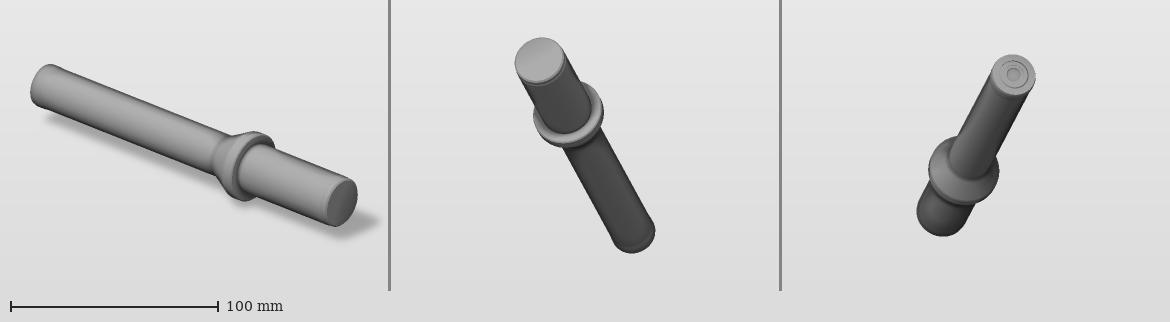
import cadquery as cq

NOSE_CHAMFER_END = 1.3
NOSE_END = 4.7
NOSE_TAPER_END = 7.5
CONE_START = 114.5
FLANGE_START = 126.9
FLANGE_END = 132.4
BARREL_START = 134.0
BARREL_END = 184.2
LENGTH = 188.0

NOSE_DIAMETER = 21.6
ROD_DIAMETER = 21.0
FLANGE_DIAMETER = 34.0
NECK_DIAMETER = 24.5
BARREL_DIAMETER = 25.0

CONE_START_RADIUS = 5.6
CONE_END_RADIUS = 2.3
NOSE_CHAMFER_DEPTH = 0.4
FLANGE_CHAMFER = 0.5
SHOULDER_LENGTH = 1.0
END_CHAMFER = 0.8

PLUG_DIAMETER = 14.3
PLUG_LENGTH = 7.5
PLUG_CHAMFER = 0.5
COUNTERBORE_DIAMETER = 9.8
COUNTERBORE_DEPTH = 0.2
SOCKET_DIAMETER = 6.4
SOCKET_CHAMFER = 0.4
SOCKET_DEPTH = 0.8

SELECT_MARGIN = 0.2


def revolve_about_x(stations):
    """Revolve a list of (x, diameter) stations into a solid on the X axis."""
    outline = [(x, diameter / 2) for x, diameter in stations]
    first_x = stations[0][0]
    last_x = stations[-1][0]
    points = [(first_x, 0)] + outline + [(last_x, 0)]
    return cq.Workplane("XY").polyline(points).close().revolve(360, (0, 0, 0), (1, 0, 0))


def round_edge_at(body, x, radius):
    """Fillet the circular edge whose centre lies on the axis at x."""
    low = (x - SELECT_MARGIN, -SELECT_MARGIN, -SELECT_MARGIN)
    high = (x + SELECT_MARGIN, SELECT_MARGIN, SELECT_MARGIN)
    return body.edges(cq.selectors.BoxSelector(low, high)).fillet(radius)


def bore_from_nose(diameter, depth):
    """Cylinder on the X axis that starts at the nose face."""
    return cq.Workplane("YZ").circle(diameter / 2).extrude(depth)


def make_arbor():
    """Rod, conical flange and barrel, with a seat for the plug in the nose."""
    arbor = revolve_about_x([
        (0, NOSE_DIAMETER - 2 * NOSE_CHAMFER_DEPTH),
        (NOSE_CHAMFER_END, NOSE_DIAMETER),
        (NOSE_END, NOSE_DIAMETER),
        (NOSE_TAPER_END, ROD_DIAMETER),
        (CONE_START, ROD_DIAMETER),
        (FLANGE_START, FLANGE_DIAMETER),
        (FLANGE_END - FLANGE_CHAMFER, FLANGE_DIAMETER),
        (FLANGE_END, FLANGE_DIAMETER - 2 * FLANGE_CHAMFER),
        (FLANGE_END, NECK_DIAMETER),
        (BARREL_START - SHOULDER_LENGTH, NECK_DIAMETER),
        (BARREL_START, BARREL_DIAMETER),
        (BARREL_END, BARREL_DIAMETER),
        (BARREL_END + SHOULDER_LENGTH, NECK_DIAMETER),
        (LENGTH - END_CHAMFER, NECK_DIAMETER),
        (LENGTH, NECK_DIAMETER - 2 * END_CHAMFER),
    ])
    arbor = round_edge_at(arbor, CONE_START, CONE_START_RADIUS)
    arbor = round_edge_at(arbor, FLANGE_START, CONE_END_RADIUS)
    return arbor.cut(bore_from_nose(PLUG_DIAMETER, PLUG_LENGTH))


def make_plug():
    """Round plug with a chamfered rim, a shallow counterbore and a blind socket."""
    plug = revolve_about_x([
        (0, PLUG_DIAMETER - 2 * PLUG_CHAMFER),
        (PLUG_CHAMFER, PLUG_DIAMETER),
        (PLUG_LENGTH, PLUG_DIAMETER),
    ])
    socket = revolve_about_x([
        (0, COUNTERBORE_DIAMETER),
        (COUNTERBORE_DEPTH, COUNTERBORE_DIAMETER),
        (COUNTERBORE_DEPTH, SOCKET_DIAMETER + 2 * SOCKET_CHAMFER),
        (COUNTERBORE_DEPTH + SOCKET_CHAMFER, SOCKET_DIAMETER),
        (SOCKET_DEPTH, SOCKET_DIAMETER),
    ])
    return plug.cut(socket)


arbor = make_arbor()
plug = make_plug()

result = cq.Compound.makeCompound([arbor.val(), plug.val()])